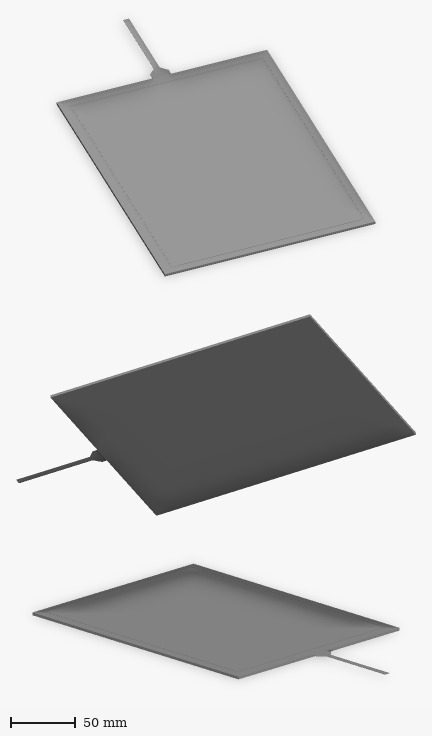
import cadquery as cq

overall_length = 302.6
panel_length = 227.4
panel_width = 175.4
panel_thickness = 2.2

active_length = 211.0
active_width = 158.3
active_center_x = 1.8
groove_outer_length = 215.2
groove_outer_width = 162.3
groove_center_x = 1.75
groove_depth = 0.15

tail_width = 4.9
tail_thickness = 0.2
tail_bottom_z = 1.8
root_width = 15.6
root_length = 5.3

stiffener_length = 10.0
stiffener_thickness = 0.1

finger_count = 5
finger_pitch = 1.0
finger_width = 0.6
finger_length = 5.2
finger_inset = 0.5
finger_thickness = 0.05

panel_left_x = -panel_length / 2
tail_end_x = panel_left_x - (overall_length - panel_length)
tail_top_z = tail_bottom_z + tail_thickness
taper_length = (root_width - tail_width) / 2


def make_centered_block(center_x, length, width, bottom_z, height):
    block = cq.Workplane("XY").box(length, width, height, centered=(True, True, False))
    return block.translate((center_x, 0, bottom_z))


def make_block_from_left(left_x, center_y, length, width, bottom_z, height):
    block = cq.Workplane("XY").box(length, width, height, centered=(False, True, False))
    return block.translate((left_x, center_y, bottom_z))


def make_panel():
    return make_centered_block(0, panel_length, panel_width, 0, panel_thickness)


def make_border_groove():
    floor_z = panel_thickness - groove_depth
    outer = make_centered_block(
        groove_center_x, groove_outer_length, groove_outer_width, floor_z, groove_depth
    )
    active_area = make_centered_block(
        active_center_x, active_length, active_width, floor_z, groove_depth
    )
    return outer.cut(active_area)


def make_tail():
    root_start_x = panel_left_x - root_length
    taper_start_x = root_start_x - taper_length
    upper_side = [
        (tail_end_x, tail_width / 2),
        (taper_start_x, tail_width / 2),
        (root_start_x, root_width / 2),
        (panel_left_x, root_width / 2),
    ]
    lower_side = [(x, -y) for x, y in reversed(upper_side)]
    outline = cq.Workplane("XY", origin=(0, 0, tail_bottom_z)).polyline(upper_side + lower_side)
    return outline.close().extrude(tail_thickness)


def make_stiffener():
    return make_block_from_left(
        tail_end_x, 0, stiffener_length, tail_width, tail_top_z, stiffener_thickness
    )


def make_contact_finger(center_y):
    return make_block_from_left(
        tail_end_x + finger_inset,
        center_y,
        finger_length,
        finger_width,
        tail_bottom_z - finger_thickness,
        finger_thickness,
    )


result = make_panel().cut(make_border_groove()).union(make_tail()).union(make_stiffener())
for index in range(finger_count):
    finger_y = (index - (finger_count - 1) / 2) * finger_pitch
    result = result.union(make_contact_finger(finger_y))
result = result.clean()